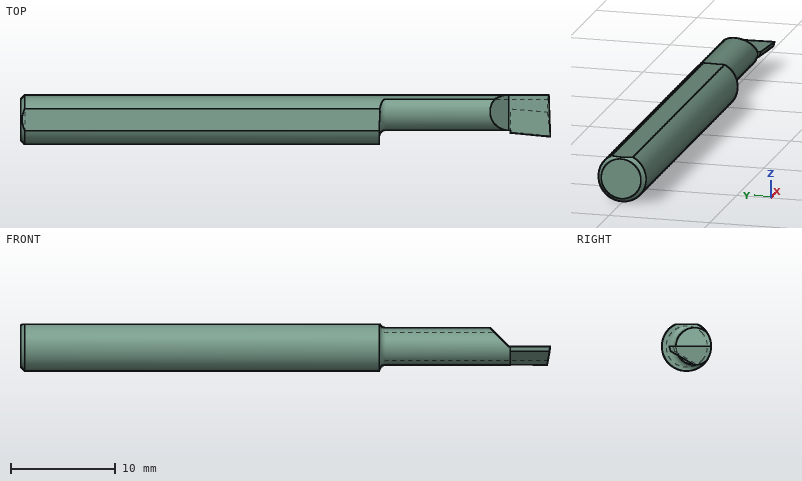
import cadquery as cq
import math

TOTAL_LENGTH = 50.8
SHANK_LENGTH = 34.4
SHANK_RADIUS = 2.375
FLAT_HEIGHT = 2.125
END_CHAMFER = 0.4

NECK_RADIUS = 1.79
NECK_OFFSET_Y = 0.77
NECK_FILLET = 0.6

RAKE_FACE_START = 46.8
TIP_START = 46.95
TIP_CORNER_Y = -1.65
SIDE_LEAD_ANGLE = 5.5
END_LEAD_ANGLE = 2.0
END_RELIEF_ANGLE = 7.0
LAND_HEIGHT = 0.45
LAND_RELIEF_ANGLE = 14.0
LOWER_RELIEF_ANGLE = 59.0

TIP_CORNER = (TOTAL_LENGTH, TIP_CORNER_Y, 0)
ABOVE_TIP_CORNER = (TOTAL_LENGTH, TIP_CORNER_Y, 1)

OVERSIZE = 2 * SHANK_RADIUS


def tangent(angle):
    return math.tan(math.radians(angle))


def bar(radius, start, end):
    """Round bar on the shank axis between two stations along X."""
    return cq.Workplane("YZ", origin=(start, 0, 0)).circle(radius).extrude(end - start)


def make_shank():
    """Shank with a chamfered rear end."""
    shank = bar(SHANK_RADIUS, 0, SHANK_LENGTH)
    return shank.faces("<X").chamfer(END_CHAMFER)


def make_neck():
    """Neck profile with a concave root fillet, revolved about the neck axis."""
    root_radius = NECK_RADIUS + NECK_FILLET
    fillet_end = SHANK_LENGTH + NECK_FILLET
    mid_shift = NECK_FILLET * (1 - math.sqrt(0.5))
    neck = (
        cq.Workplane("XY", origin=(0, NECK_OFFSET_Y, 0))
        .moveTo(SHANK_LENGTH, 0)
        .lineTo(SHANK_LENGTH, -root_radius)
        .threePointArc(
            (SHANK_LENGTH + mid_shift, -NECK_RADIUS - mid_shift),
            (fillet_end, -NECK_RADIUS),
        )
        .lineTo(TOTAL_LENGTH, -NECK_RADIUS)
        .lineTo(TOTAL_LENGTH, 0)
        .close()
        .revolve(360, (0, 0, 0), (1, 0, 0))
    )
    return neck.intersect(bar(SHANK_RADIUS, SHANK_LENGTH, TOTAL_LENGTH))


def make_tip_blank():
    """Block that widens the lower half of the neck toward -Y at the tip."""
    length = TOTAL_LENGTH - TIP_START
    width = NECK_OFFSET_Y - TIP_CORNER_Y
    block_corner = (TIP_START, TIP_CORNER_Y, -NECK_RADIUS)
    block = cq.Workplane("XY", origin=block_corner).box(length, width, NECK_RADIUS, centered=False)
    return block.intersect(bar(SHANK_RADIUS, TIP_START, TOTAL_LENGTH))


def make_rake_cut():
    """Space above the rake face, with a 45 degree run-out at the neck."""
    return (
        cq.Workplane("XZ", origin=(0, OVERSIZE, 0))
        .moveTo(RAKE_FACE_START, 0)
        .lineTo(RAKE_FACE_START - OVERSIZE, OVERSIZE)
        .lineTo(TOTAL_LENGTH + OVERSIZE, OVERSIZE)
        .lineTo(TOTAL_LENGTH + OVERSIZE, 0)
        .close()
        .extrude(2 * OVERSIZE)
    )


def make_side_relief_cut():
    """Space in front of the side edge: a narrow land above a steeper lower relief."""
    land_y = TIP_CORNER_Y + LAND_HEIGHT * tangent(LAND_RELIEF_ANGLE)
    lower_y = land_y + (OVERSIZE - LAND_HEIGHT) * tangent(LOWER_RELIEF_ANGLE)
    section = (
        cq.Workplane("YZ", origin=(TOTAL_LENGTH, 0, 0))
        .moveTo(TIP_CORNER_Y, 0)
        .lineTo(land_y, -LAND_HEIGHT)
        .lineTo(lower_y, -OVERSIZE)
        .lineTo(-OVERSIZE, -OVERSIZE)
        .lineTo(-OVERSIZE, 0)
        .close()
    )
    cut = section.extrude(OVERSIZE, both=True).rotate(TIP_CORNER, ABOVE_TIP_CORNER, -SIDE_LEAD_ANGLE)
    tip_zone = cq.Workplane("XY", origin=(TIP_START, 0, 0)).box(
        OVERSIZE, 4 * OVERSIZE, 4 * OVERSIZE, centered=(False, True, True)
    )
    return cut.intersect(tip_zone)


def make_end_relief_cut():
    """Space beyond the end edge, undercut below the rake face and angled back toward +Y."""
    return (
        cq.Workplane("XZ", origin=TIP_CORNER)
        .lineTo(-OVERSIZE * tangent(END_RELIEF_ANGLE), -OVERSIZE)
        .lineTo(OVERSIZE, -OVERSIZE)
        .lineTo(OVERSIZE, 0)
        .close()
        .extrude(2 * OVERSIZE, both=True)
        .rotate(TIP_CORNER, ABOVE_TIP_CORNER, END_LEAD_ANGLE)
    )


def make_flat_cut():
    """Space above the locating flat."""
    return cq.Workplane("XY", origin=(0, 0, FLAT_HEIGHT)).box(
        TOTAL_LENGTH, OVERSIZE, OVERSIZE, centered=(False, True, False)
    )


result = (
    make_shank()
    .union(make_neck())
    .union(make_tip_blank())
    .cut(make_rake_cut())
    .cut(make_side_relief_cut())
    .cut(make_end_relief_cut())
    .cut(make_flat_cut())
)